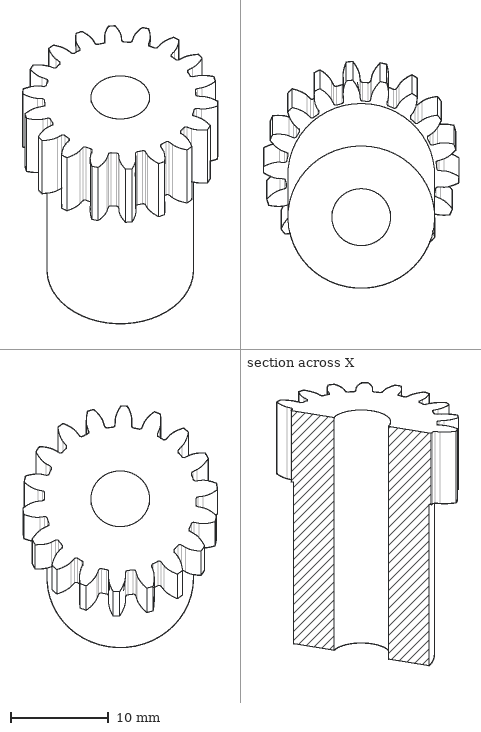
import cadquery as cq
import math


module = 1.0
tooth_count = 18
pressure_angle = math.radians(20)
pitch_radius = module * tooth_count / 2
tip_radius = pitch_radius + module
dedendum = 1.25 * module
root_radius = pitch_radius - dedendum
base_radius = pitch_radius * math.cos(pressure_angle)
root_fillet = 0.25 * module
flank_points = 5

total_height = 26.0
gear_height = 8.0
hub_height = total_height - gear_height
hub_diameter = 15.0
bore_diameter = 6.0


def polar(radius, angle):
    return (radius * math.cos(angle), radius * math.sin(angle))


def involute(angle):
    return math.tan(angle) - angle


base_half_angle = math.pi / (2 * tooth_count) + involute(pressure_angle)


def flank_point(radius):
    """Point on the upper flank of the tooth that is centred on +X."""
    angle = base_half_angle - involute(math.acos(base_radius / radius))
    return polar(radius, angle)


def mirrored(point):
    return (point[0], -point[1])


def tooth():
    """One tooth on +X: parallel sides up to the base circle, involute flanks above."""
    step = (tip_radius - base_radius) / (flank_points - 1)
    upper = [flank_point(base_radius + i * step) for i in range(flank_points)]
    lower = [mirrored(point) for point in upper]
    half_base = upper[0][1]
    inner_x = root_radius - module
    return (
        cq.Workplane("XY")
        .workplane(offset=hub_height)
        .moveTo(inner_x, -half_base)
        .lineTo(*lower[0])
        .spline(lower[1:], includeCurrent=True)
        .threePointArc((tip_radius, 0), upper[-1])
        .spline(upper[-2::-1], includeCurrent=True)
        .lineTo(inner_x, half_base)
        .close()
        .extrude(gear_height)
    )


def is_root_corner(edge):
    """True for upright edges where a tooth side meets the root cylinder."""
    centre = edge.Center()
    return math.hypot(centre.x, centre.y) < (root_radius + base_radius) / 2


def toothed_rim():
    """Root cylinder with all teeth, rounded where the teeth meet the root."""
    rim = cq.Workplane("XY").workplane(offset=hub_height).circle(root_radius).extrude(gear_height)
    one_tooth = tooth()
    tooth_pitch = 360 / tooth_count
    for i in range(tooth_count):
        rim = rim.union(one_tooth.rotate((0, 0, 0), (0, 0, 1), i * tooth_pitch))
    return rim.edges("|Z").filter(is_root_corner).fillet(root_fillet)


def hub():
    return cq.Workplane("XY").circle(hub_diameter / 2).extrude(hub_height)


def bore():
    return cq.Workplane("XY").circle(bore_diameter / 2).extrude(total_height)


result = toothed_rim().union(hub()).cut(bore())